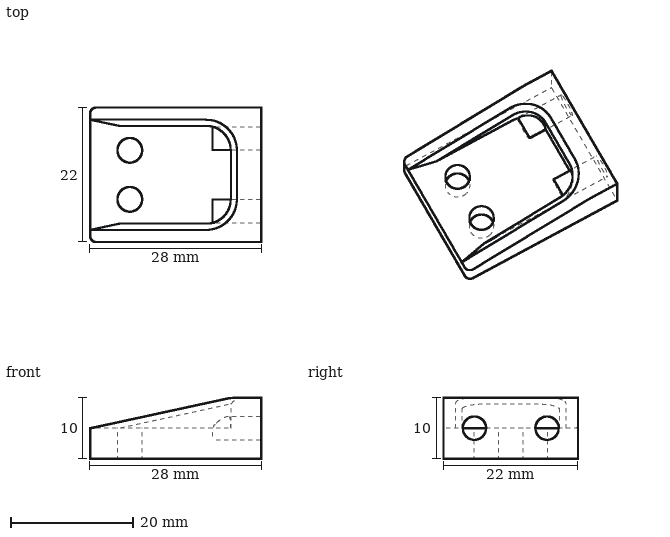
import cadquery as cq

length = 28.0
width = 22.0
height = 10.0
front_height = 5.0
slope_end = 23.0
slope_blend_radius = 6.0
front_corner_radius = 1.0

floor_height = front_height
pocket_end = 23.0
pocket_width = 16.0
pocket_corner_radius = 4.0
rim_chamfer = 1.0

mount_diameter = 4.0
mount_x = 6.5
mount_spacing = 8.0

rear_hole_diameter = 3.8
rear_hole_spacing = 11.87
rear_hole_start = 20.0

overrun = 5.6
overrun_height = front_height - overrun * (height - front_height) / slope_end

selection_margin = 0.28


def make_wedge():
    """Sloped block, extended forward, with the slope blended into the flat top."""
    wedge = (
        cq.Workplane("XZ")
        .polyline([
            (-overrun, 0),
            (length, 0),
            (length, height),
            (slope_end, height),
            (-overrun, overrun_height),
        ])
        .close()
        .extrude(width / 2, both=True)
    )
    crest = cq.selectors.NearestToPointSelector((slope_end, 0, height))
    return wedge.edges("|Y").edges(crest).fillet(slope_blend_radius)


def make_rim():
    """Walls around the pocket, with a chamfered upper edge, above the floor."""
    pocket_length = pocket_end + 2 * overrun
    pocket = (
        cq.Workplane("XY")
        .box(pocket_length, pocket_width, height, centered=(False, True, False))
        .translate((pocket_end - pocket_length, 0, 0))
        .edges("|Z and >X")
        .fillet(pocket_corner_radius)
    )
    walls = make_wedge().cut(pocket)
    upper_inner_edges = cq.selectors.BoxSelector(
        (-overrun, -pocket_width / 2 - selection_margin, selection_margin),
        (pocket_end + selection_margin, pocket_width / 2 + selection_margin, height + selection_margin),
    )
    walls = walls.edges(upper_inner_edges).edges("not |Z").chamfer(rim_chamfer)
    above_floor = (
        cq.Workplane("XY")
        .box(length, width, height - floor_height, centered=(False, True, False))
        .translate((0, 0, floor_height))
    )
    return walls.intersect(above_floor)


def make_body():
    """Base slab carrying the rim, with rounded vertical front corners."""
    base = cq.Workplane("XY").box(length, width, floor_height, centered=(False, True, False))
    rounded_block = (
        cq.Workplane("XY")
        .box(length, width, height, centered=(False, True, False))
        .edges("|Z and <X")
        .fillet(front_corner_radius)
    )
    return base.union(make_rim()).intersect(rounded_block)


def make_holes():
    """Through holes in the floor and horizontal holes running out of the back."""
    mount_holes = (
        cq.Workplane("XY")
        .pushPoints([(mount_x, side * mount_spacing / 2) for side in (-1, 1)])
        .circle(mount_diameter / 2)
        .extrude(height)
    )
    rear_holes = (
        cq.Workplane("YZ", origin=(rear_hole_start, 0, floor_height))
        .pushPoints([(side * rear_hole_spacing / 2, 0) for side in (-1, 1)])
        .circle(rear_hole_diameter / 2)
        .extrude(length - rear_hole_start)
    )
    return mount_holes.union(rear_holes)


result = make_body().cut(make_holes())